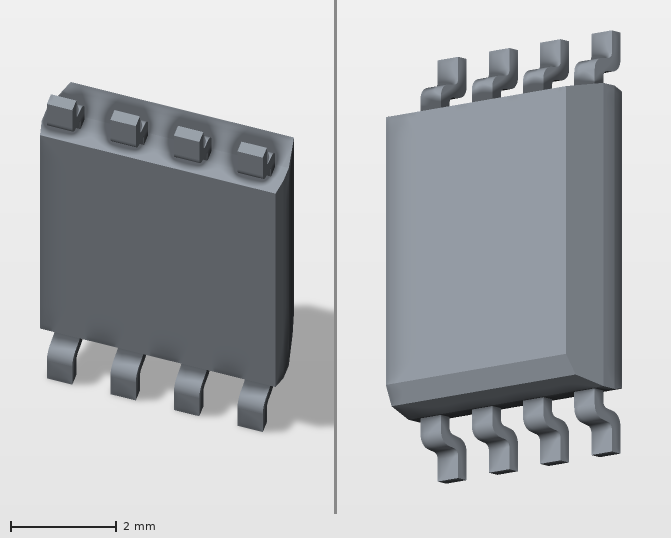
import cadquery as cq
import math

body_width = 4.83
body_length = 5.89
total_length = 8.18
total_depth = 1.7

front_face_y = 0.18
band_front_y = 0.48
band_back_y = 0.81
draft_angle = 11.6
bevel_depth = 0.23
bevel_height = 0.51

leads_per_side = 4
lead_pitch = 1.27
lead_width = 0.51
lead_thickness = 0.25
shoulder_front_y = 0.51
knee_from_tip = 0.69
knee_slope = 8.0
outer_bend_radius = 0.25
inner_bend_radius = 0.12
lead_embed = 0.16


def band_outline(y):
    """Full-size body rectangle in the plane at height y, facing +Y."""
    plane = cq.Plane(origin=(0, y, 0), xDir=(1, 0, 0), normal=(0, 1, 0))
    return cq.Workplane(plane).rect(body_width, body_length)


def make_body():
    band = band_outline(band_front_y).extrude(band_back_y - band_front_y)
    back = band_outline(band_back_y).extrude(total_depth - band_back_y, taper=draft_angle)
    front = (
        band_outline(-band_front_y)
        .extrude(band_front_y - front_face_y, taper=draft_angle)
        .mirror("XZ")
    )
    return band.union(back).union(front)


def make_bevel_cutter():
    """Wedge that removes the lower back edge across the whole width."""
    bottom_z = -body_length / 2
    bevel_top_z = bottom_z + bevel_height
    taper_inset = (total_depth - bevel_depth - band_back_y) * math.tan(math.radians(draft_angle))
    bevel_bottom_z = bottom_z + taper_inset
    return (
        cq.Workplane("YZ")
        .moveTo(total_depth, bevel_top_z)
        .lineTo(total_depth - bevel_depth, bevel_bottom_z)
        .lineTo(total_depth - bevel_depth, bottom_z)
        .lineTo(total_depth, bottom_z)
        .close()
        .extrude(body_width / 2, both=True)
    )


def make_upper_lead():
    """One lead at X = 0 on the +Z end of the body."""
    tip_z = total_length / 2
    root_z = body_length / 2 - lead_embed
    shoulder_back_y = shoulder_front_y + lead_thickness
    knee_y = shoulder_back_y / 2
    knee_z = tip_z - knee_from_tip
    slope = math.tan(math.radians(knee_slope))
    half_knee = lead_thickness / 2 / math.cos(math.radians(knee_slope))

    def knee_top_z(y):
        return knee_z + half_knee - slope * (y - knee_y)

    def knee_bottom_z(y):
        return knee_top_z(y) - 2 * half_knee

    foot_outer = (0, knee_bottom_z(0))
    foot_inner = (lead_thickness, knee_top_z(lead_thickness))
    shoulder_inner = (shoulder_front_y, knee_bottom_z(shoulder_front_y))
    shoulder_outer = (shoulder_back_y, knee_top_z(shoulder_back_y))
    lead = (
        cq.Workplane("YZ")
        .polyline([
            (0, tip_z),
            foot_outer,
            shoulder_inner,
            (shoulder_front_y, root_z),
            (shoulder_back_y, root_z),
            shoulder_outer,
            foot_inner,
            (lead_thickness, tip_z),
        ])
        .close()
        .extrude(lead_width / 2, both=True)
    )

    def bend_edge(corner):
        return cq.selectors.NearestToPointSelector((0, *corner))

    for corner in (foot_outer, shoulder_outer):
        lead = lead.edges("|X").edges(bend_edge(corner)).fillet(outer_bend_radius)
    for corner in (foot_inner, shoulder_inner):
        lead = lead.edges("|X").edges(bend_edge(corner)).fillet(inner_bend_radius)
    return lead


result = make_body().cut(make_bevel_cutter())

upper_lead = make_upper_lead()
lower_lead = upper_lead.mirror("XY")
for index in range(leads_per_side):
    lead_x = (index - (leads_per_side - 1) / 2) * lead_pitch
    for lead in (upper_lead, lower_lead):
        result = result.union(lead.translate((lead_x, 0, 0)))